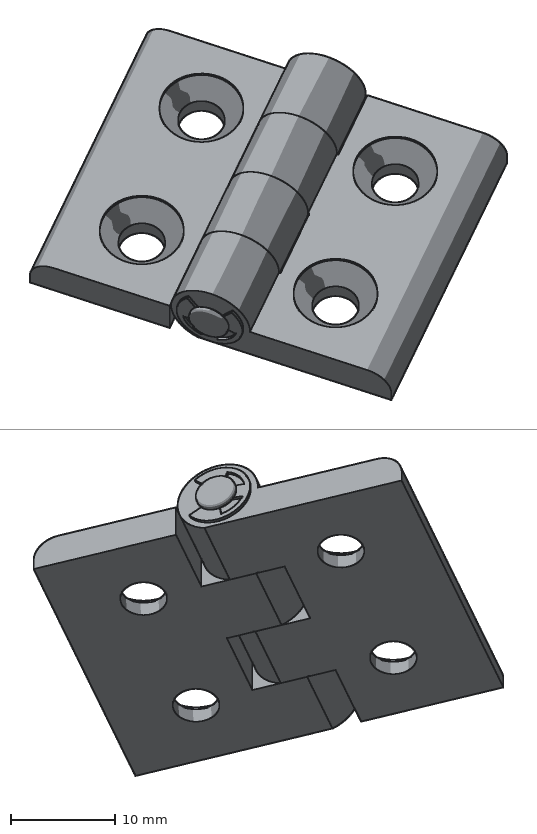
import cadquery as cq
import math

hinge_width = 37.3
hinge_length = 30.0
pin_length = 31.6

barrel_radius = 4.05
axis_height = 3.85
knuckle_count = 4
knuckle_length = hinge_length / knuckle_count

leaf_thickness = 3.7
leaf_reach = hinge_width / 2
leaf_edge_radius = 2.5
knuckle_gap_radius = 4.2

hole_distance = 10.0
hole_pitch = 15.45
hole_radius = 2.25
countersink_radius = 4.03
countersink_lip = 0.25
countersink_depth = countersink_radius - hole_radius

clip_radius = 3.4
clip_thickness = 0.3
clip_band_inner_radius = 2.85
clip_foot_half_width = 0.8
clip_arm_end_angle = 16.0
clip_mouth_half_angle = 37.0
clip_mouth_apex_drop = 0.52
back_clip_turn = 83.0

pin_radius = 1.6
pin_head_radius = 2.0
pin_head_rounding = 0.25
pin_head_length = (pin_length - hinge_length) / 2 - clip_thickness


def y_cylinder(radius, start, length):
    """Cylinder around the pin axis from Y = start to Y = start + length."""
    origin = (0, start + length, axis_height)
    return cq.Workplane("XZ", origin=origin).circle(radius).extrude(length)


def knuckle_start(index):
    return -hinge_length / 2 + index * knuckle_length


def make_plate():
    """Flat part of the leaf on the +X side, reaching in to the pin axis."""
    plate = cq.Workplane("XY").box(
        leaf_reach, hinge_length, leaf_thickness, centered=(False, True, False)
    )
    return plate.edges("|Y and >X and >Z").fillet(leaf_edge_radius)


def make_screw_holes():
    """Cutter for the two countersunk holes of the +X leaf."""
    cone_top = leaf_thickness - countersink_lip
    cone_bottom = cone_top - countersink_depth
    profile = [
        (0, 0),
        (hole_radius, 0),
        (hole_radius, cone_bottom),
        (countersink_radius, cone_top),
        (countersink_radius, leaf_thickness),
        (0, leaf_thickness),
    ]
    hole = cq.Workplane("XZ").polyline(profile).close().revolve(360, (0, 0), (0, 1))
    front_hole = hole.translate((hole_distance, -hole_pitch / 2, 0))
    back_hole = hole.translate((hole_distance, hole_pitch / 2, 0))
    return front_hole.union(back_hole)


def make_leaf():
    """Leaf on the +X side; its knuckles are the first and third from the -Y end."""
    leaf = make_plate().cut(make_screw_holes())

    for index in range(1, knuckle_count, 2):
        clearance = cq.Workplane("XY").box(
            knuckle_gap_radius, knuckle_length, leaf_thickness, centered=(False, False, False)
        )
        leaf = leaf.cut(clearance.translate((0, knuckle_start(index), 0)))

    for index in range(0, knuckle_count, 2):
        leaf = leaf.union(y_cylinder(barrel_radius, knuckle_start(index), knuckle_length))

    below_base = cq.Workplane("XY").box(
        hinge_width, hinge_length, barrel_radius, centered=(True, True, False)
    )
    leaf = leaf.cut(below_base.translate((0, 0, -barrel_radius)))
    return leaf.cut(y_cylinder(pin_radius, -hinge_length / 2, hinge_length))


def make_pin():
    """Pin through all the knuckles with a rounded head outside each clip."""
    pin = y_cylinder(pin_radius, -pin_length / 2, pin_length)
    for head_start in (-pin_length / 2, pin_length / 2 - pin_head_length):
        pin = pin.union(y_cylinder(pin_head_radius, head_start, pin_head_length))
    return pin.faces("<Y or >Y").edges().fillet(pin_head_rounding)


def make_clip(start, turn):
    """E-shaped clip gripping the pin, built with its mouth upward, then turned about the pin axis."""
    plane = cq.Workplane("XZ", origin=(0, start + clip_thickness, axis_height))
    clip = plane.circle(clip_radius).circle(pin_radius).extrude(clip_thickness)

    mouth_height = 2 * clip_radius
    mouth_half_width = mouth_height * math.tan(math.radians(clip_mouth_half_angle))
    mouth = (
        plane.moveTo(0, -clip_mouth_apex_drop)
        .lineTo(mouth_half_width, mouth_height - clip_mouth_apex_drop)
        .lineTo(-mouth_half_width, mouth_height - clip_mouth_apex_drop)
        .close()
        .extrude(clip_thickness)
    )
    clip = clip.cut(mouth)

    slope = math.tan(math.radians(clip_arm_end_angle))
    for side in (-1, 1):
        relief = (
            plane.moveTo(side * clip_foot_half_width, -clip_foot_half_width * slope)
            .lineTo(side * clip_radius, -clip_radius * slope)
            .lineTo(side * clip_radius, -clip_radius)
            .lineTo(side * clip_foot_half_width, -clip_radius)
            .close()
            .extrude(clip_thickness)
        )
        band_limit = plane.circle(clip_band_inner_radius).extrude(clip_thickness)
        clip = clip.cut(relief.intersect(band_limit))

    return clip.rotate((0, 0, axis_height), (0, 1, axis_height), turn)


right_leaf = make_leaf()
left_leaf = right_leaf.rotate((0, 0, 0), (0, 0, 1), 180)
pin = make_pin()

clip_placements = [
    (-hinge_length / 2 - clip_thickness, 0),
    (hinge_length / 2, back_clip_turn),
]
clips = [make_clip(start, turn) for start, turn in clip_placements]

result = cq.Compound.makeCompound(
    [right_leaf.val(), left_leaf.val(), pin.val(), *[clip.val() for clip in clips]]
)